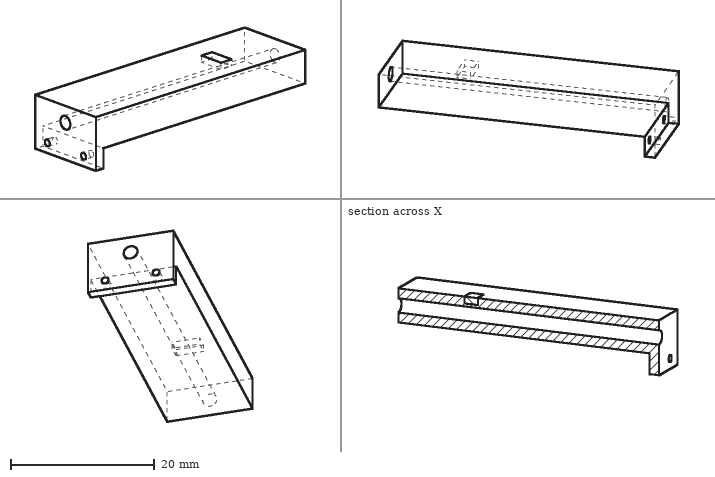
import cadquery as cq

LENGTH = 40.0
WIDTH = 12.4
HEIGHT = 8.0
BAR_HEIGHT = 5.0
FLANGE_THICKNESS = 1.5

BORE_DIAMETER = 2.0
BORE_Z = HEIGHT - BAR_HEIGHT / 2

SCREW_HOLE_DIAMETER = 1.0
SCREW_HOLE_SPACING = 7.4
SCREW_HOLE_Z = 1.5

INSERT_WIDTH = 4.0
INSERT_LENGTH = 2.0
INSERT_DEPTH = 1.0
INSERT_REAR_GAP = 10.15
INSERT_Y = LENGTH - INSERT_REAR_GAP - INSERT_LENGTH / 2


def cylinder_along_y(diameter, x, z, length):
    """Cylinder running rearward from the front face."""
    axis_start = cq.Vector(x, 0, z)
    return cq.Workplane(cq.Solid.makeCylinder(diameter / 2, length, axis_start, cq.Vector(0, 1, 0)))


def make_insert():
    """Block whose top lies in the top face of the bar."""
    return (
        cq.Workplane("XY", origin=(0, INSERT_Y, HEIGHT))
        .rect(INSERT_WIDTH, INSERT_LENGTH)
        .extrude(-INSERT_DEPTH)
    )


def make_housing():
    """L-shaped bar and flange with its bore, screw holes and insert recess."""
    bar_underside = HEIGHT - BAR_HEIGHT
    profile = [
        (0, 0),
        (FLANGE_THICKNESS, 0),
        (FLANGE_THICKNESS, bar_underside),
        (LENGTH, bar_underside),
        (LENGTH, HEIGHT),
        (0, HEIGHT),
    ]
    body = cq.Workplane("YZ").polyline(profile).close().extrude(WIDTH / 2, both=True)

    body = body.cut(cylinder_along_y(BORE_DIAMETER, 0, BORE_Z, LENGTH))
    for side in (-1, 1):
        hole_x = side * SCREW_HOLE_SPACING / 2
        body = body.cut(
            cylinder_along_y(SCREW_HOLE_DIAMETER, hole_x, SCREW_HOLE_Z, FLANGE_THICKNESS)
        )
    return body.cut(make_insert())


housing = make_housing()
insert = make_insert()

result = cq.Compound.makeCompound([housing.val(), insert.val()])